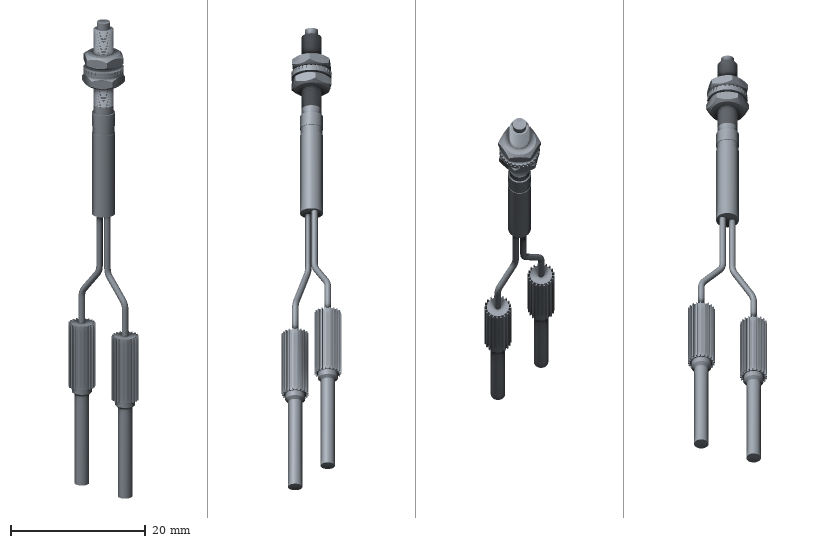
import cadquery as cq
import math

TOTAL_HEIGHT = 74.4

TIP_DIAMETER = 2.0
TIP_LENGTH = 1.05
THREAD_DIAMETER = 3.0
THREAD_ROOT_DIAMETER = 2.5
THREAD_LENGTH = 12.1
THREAD_TURNS = 53
SHANK_LENGTH = 1.2
SLEEVE_DIAMETER = 3.4
SLEEVE_BOTTOM_Z = 43.9
SLEEVE_BAND_LENGTH = 2.1
SLEEVE_GROOVE_WIDTH = 1.1
SLEEVE_GROOVE_DEPTH = 0.1

FIBRE_DIAMETER = 1.0
FIBRE_UPPER_SPACING = 1.55
FIBRE_LOWER_SPACING = 8.5
FIBRE_UPPER_BEND_Z = 34.6
FIBRE_LOWER_BEND_Z = 30.5
FIBRE_BEND_RADIUS = 2.0

KNOB_DIAMETER = 4.0
KNOB_TOP_Z = 25.5
KNOB_BOTTOM_Z = 15.4
KNOB_FLUTES = 20
FLUTE_WIDTH = 0.45
FLUTE_DEPTH = 0.4
COLLAR_DIAMETER = 3.0
COLLAR_LENGTH = 1.35
COLLAR_CHAMFER = 0.5
TUBE_DIAMETER = 2.15

HEX_SIDES = 6
NUT_ACROSS_FLATS = 5.5
NUT_HEIGHT = 1.85
NUT_CHAMFER_ANGLE = 36.0
NUT_FACE_DIAMETER = 4.9
UPPER_NUT_BOTTOM_Z = 67.6
UPPER_NUT_TURN = -10.0
LOWER_NUT_BOTTOM_Z = 64.5
LOWER_NUT_TURN = 6.0
WASHER_DIAMETER = 6.0
WASHER_PLATE_HEIGHT = 0.4
WASHER_TOOTH_HEIGHT = 0.5
WASHER_TEETH = 30
WASHER_TOOTH_GAP = 0.2
WASHER_TOOTH_DEPTH = 0.15


def cylinder(diameter, bottom_z, top_z):
    return cq.Workplane("XY", origin=(0, 0, bottom_z)).circle(diameter / 2).extrude(top_z - bottom_z)


def make_head_core():
    """Revolved tip, ring thread, plain shank and grooved sleeve."""
    tip_r = TIP_DIAMETER / 2
    crest_r = THREAD_DIAMETER / 2
    root_r = THREAD_ROOT_DIAMETER / 2
    sleeve_r = SLEEVE_DIAMETER / 2
    groove_r = sleeve_r - SLEEVE_GROOVE_DEPTH
    pitch = THREAD_LENGTH / THREAD_TURNS
    thread_top = TOTAL_HEIGHT - TIP_LENGTH
    thread_bottom = thread_top - THREAD_LENGTH
    sleeve_top = thread_bottom - SHANK_LENGTH
    groove_top = sleeve_top - SLEEVE_BAND_LENGTH
    groove_bottom = groove_top - SLEEVE_GROOVE_WIDTH

    profile = [(0, TOTAL_HEIGHT), (tip_r, TOTAL_HEIGHT), (tip_r, thread_top)]
    for turn in range(THREAD_TURNS):
        turn_top = thread_top - turn * pitch
        profile += [(root_r, turn_top), (crest_r, turn_top - pitch / 2)]
    profile += [(root_r, thread_bottom), (crest_r, thread_bottom)]
    profile += [(crest_r, sleeve_top), (sleeve_r, sleeve_top)]
    profile += [(sleeve_r, groove_top), (groove_r, groove_top)]
    profile += [(groove_r, groove_bottom), (sleeve_r, groove_bottom)]
    profile += [(sleeve_r, SLEEVE_BOTTOM_Z), (0, SLEEVE_BOTTOM_Z)]
    return cq.Workplane("XZ").polyline(profile).close().revolve(360, (0, 0), (0, 1))


def make_fibre(side):
    """Round fibre with two opposite bends, from the sleeve down to the knob; side is -1 or +1."""
    upper_x = FIBRE_UPPER_SPACING / 2
    lower_x = FIBRE_LOWER_SPACING / 2
    slant = math.atan2(lower_x - upper_x, FIBRE_UPPER_BEND_Z - FIBRE_LOWER_BEND_Z)
    tangent = FIBRE_BEND_RADIUS * math.tan(slant / 2)
    run_x = tangent * math.sin(slant)
    run_z = tangent * math.cos(slant)
    sagitta = FIBRE_BEND_RADIUS * (1 - math.cos(slant / 2))
    half_rise = FIBRE_BEND_RADIUS * math.sin(slant / 2)

    upper_start_z = FIBRE_UPPER_BEND_Z + tangent
    lower_end_z = FIBRE_LOWER_BEND_Z - tangent
    path = (
        cq.Workplane("XZ")
        .moveTo(side * upper_x, SLEEVE_BOTTOM_Z)
        .lineTo(side * upper_x, upper_start_z)
        .threePointArc(
            (side * (upper_x + sagitta), upper_start_z - half_rise),
            (side * (upper_x + run_x), FIBRE_UPPER_BEND_Z - run_z),
        )
        .lineTo(side * (lower_x - run_x), FIBRE_LOWER_BEND_Z + run_z)
        .threePointArc(
            (side * (lower_x - sagitta), lower_end_z + half_rise),
            (side * lower_x, lower_end_z),
        )
        .lineTo(side * lower_x, KNOB_TOP_Z)
    )
    start = cq.Workplane("XY", origin=(side * upper_x, 0, SLEEVE_BOTTOM_Z))
    return start.circle(FIBRE_DIAMETER / 2).sweep(path)


def make_fibre_head():
    head = make_head_core()
    for side in (-1, 1):
        head = head.union(make_fibre(side))
    return head


def make_adapter(side):
    """Fluted knob with a chamfered collar and a tube below; side is -1 or +1."""
    knob = cylinder(KNOB_DIAMETER, KNOB_BOTTOM_Z, KNOB_TOP_Z)
    flutes = (
        cq.Workplane("XY", origin=(0, 0, KNOB_BOTTOM_Z))
        .polarArray(KNOB_DIAMETER / 2, 0, 360, KNOB_FLUTES)
        .rect(2 * FLUTE_DEPTH, FLUTE_WIDTH)
        .extrude(KNOB_TOP_Z - KNOB_BOTTOM_Z)
    )
    knob = knob.cut(flutes)

    collar = cylinder(COLLAR_DIAMETER, KNOB_BOTTOM_Z - COLLAR_LENGTH, KNOB_BOTTOM_Z)
    collar = collar.faces("<Z").chamfer(COLLAR_CHAMFER)
    tube = cylinder(TUBE_DIAMETER, 0, KNOB_BOTTOM_Z)
    return knob.union(collar).union(tube).translate((side * FIBRE_LOWER_SPACING / 2, 0, 0))


def make_nut(bottom_z, turn):
    """Hexagon nut chamfered on both faces; at zero turn its corners lie on the Y axis."""
    half_sector = 180 / HEX_SIDES
    corner_diameter = NUT_ACROSS_FLATS / math.cos(math.radians(half_sector))
    face_r = NUT_FACE_DIAMETER / 2
    corner_r = corner_diameter / 2
    chamfer_height = (corner_r - face_r) * math.tan(math.radians(NUT_CHAMFER_ANGLE))
    hexagon = (
        cq.Workplane("XY")
        .polygon(HEX_SIDES, corner_diameter)
        .circle(THREAD_DIAMETER / 2)
        .extrude(NUT_HEIGHT)
        .rotate((0, 0, 0), (0, 0, 1), half_sector + turn)
    )
    envelope = (
        cq.Workplane("XZ")
        .polyline(
            [
                (0, 0),
                (face_r, 0),
                (corner_r, chamfer_height),
                (corner_r, NUT_HEIGHT - chamfer_height),
                (face_r, NUT_HEIGHT),
                (0, NUT_HEIGHT),
            ]
        )
        .close()
        .revolve(360, (0, 0), (0, 1))
    )
    return hexagon.intersect(envelope).translate((0, 0, bottom_z))


def make_washer():
    """Round plate resting on the lower nut, with a ring of teeth on top."""
    bottom_z = LOWER_NUT_BOTTOM_Z + NUT_HEIGHT
    plate_top = bottom_z + WASHER_PLATE_HEIGHT
    top_z = plate_top + WASHER_TOOTH_HEIGHT
    gaps = (
        cq.Workplane("XY", origin=(0, 0, plate_top))
        .polarArray(WASHER_DIAMETER / 2, 0, 360, WASHER_TEETH)
        .rect(2 * WASHER_TOOTH_DEPTH, WASHER_TOOTH_GAP)
        .extrude(WASHER_TOOTH_HEIGHT)
    )
    disc = cylinder(WASHER_DIAMETER, bottom_z, top_z)
    bore = cylinder(THREAD_DIAMETER, bottom_z, top_z)
    return disc.cut(bore).cut(gaps)


fibre_head = make_fibre_head()
nuts = [
    make_nut(UPPER_NUT_BOTTOM_Z, UPPER_NUT_TURN),
    make_nut(LOWER_NUT_BOTTOM_Z, LOWER_NUT_TURN),
]
washer = make_washer()
adapters = [make_adapter(side) for side in (-1, 1)]

result = cq.Compound.makeCompound(
    [fibre_head.val(), washer.val()]
    + [nut.val() for nut in nuts]
    + [adapter.val() for adapter in adapters]
)